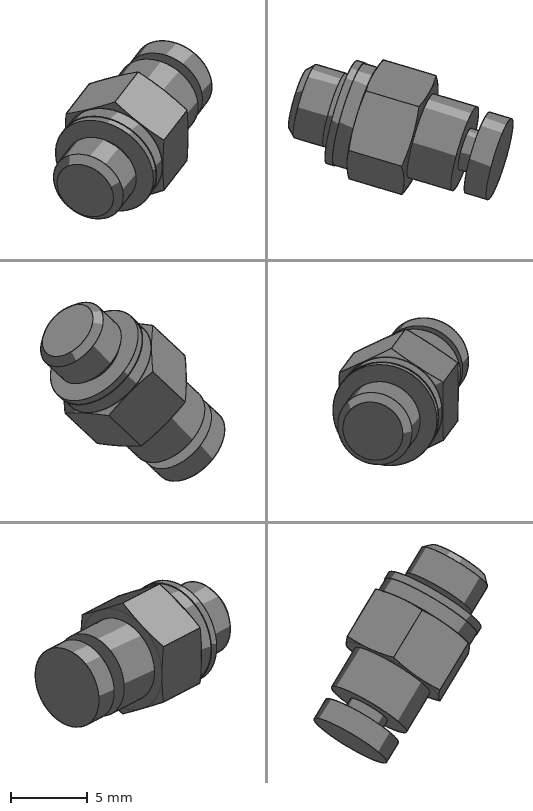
import cadquery as cq
import math

total_length = 13.8

stud_diameter = 5.0
flange_diameter = 7.0
washer_diameter = 6.9
collar_diameter = 5.7
neck_diameter = 2.8
ring_diameter = 5.5
hex_across_flats = flange_diameter

stud_length = 3.0
stud_chamfer = 0.48
flange_length = 0.51
washer_length = 1.0
hex_length = 3.92
collar_length = 3.0
ring_length = 1.5

hex_trim_angle = 15.0

flange_start = stud_length
washer_start = flange_start + flange_length
hex_start = washer_start + washer_length
collar_start = hex_start + hex_length
neck_start = collar_start + collar_length
ring_start = total_length - ring_length


def cylinder(diameter, start, end):
    """Round section about the Y axis from start to end."""
    plane = cq.Workplane("XZ", origin=(0, start, 0))
    return plane.circle(diameter / 2).extrude(start - end)


def make_stud():
    """Plain stud, chamfered at the tip and where it meets the flange."""
    return cylinder(stud_diameter, 0, stud_length).edges("%CIRCLE").chamfer(stud_chamfer)


def make_hex():
    """Hexagon with corners on the Z axis, trimmed conically at both ends."""
    corner_radius = hex_across_flats / 2 / math.cos(math.radians(30))
    prism = (
        cq.Workplane("XZ", origin=(0, hex_start, 0))
        .transformed(rotate=(0, 0, 90))
        .polygon(6, 2 * corner_radius)
        .extrude(-hex_length)
    )
    face_radius = hex_across_flats / 2
    trim_depth = (corner_radius - face_radius) * math.tan(math.radians(hex_trim_angle))
    envelope = (
        cq.Workplane("XY")
        .moveTo(0, hex_start)
        .lineTo(face_radius, hex_start)
        .lineTo(corner_radius, hex_start + trim_depth)
        .lineTo(corner_radius, collar_start - trim_depth)
        .lineTo(face_radius, collar_start)
        .lineTo(0, collar_start)
        .close()
        .revolve(360, (0, 0, 0), (0, 1, 0))
    )
    return prism.intersect(envelope)


result = (
    make_stud()
    .union(cylinder(flange_diameter, flange_start, washer_start))
    .union(cylinder(washer_diameter, washer_start, hex_start))
    .union(make_hex())
    .union(cylinder(collar_diameter, collar_start, neck_start))
    .union(cylinder(neck_diameter, neck_start, ring_start))
    .union(cylinder(ring_diameter, ring_start, total_length))
)